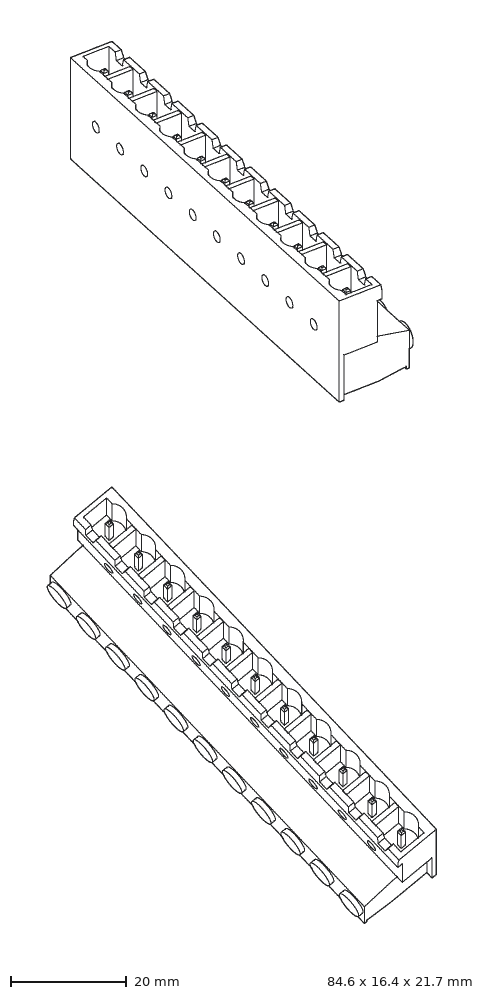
import cadquery as cq


length = 84.6
height = 21.7
depth = 16.4
pole_count = 11
pole_pitch = 7.6

plate_thickness = 1.0
housing_depth = 7.9

lip_depth = 8.9
lip_bottom_z = 18.6
lip_bevel_depth = 0.25
lip_bevel_height = 1.35

body_end_inset = 1.35
body_top_z = 9.7
body_back_y = 15.4
body_back_top_z = 8.4
top_taper_start_y = 9.05
bottom_taper_start_y = 9.1
bottom_taper_end_y = 14.8
bottom_taper_rise = 0.85
foot_z = 0.25

boss_diameter = 5.1
boss_z = 5.25

pocket_width = 6.6
pocket_front_y = 2.0
pocket_back_y = 7.35
pocket_floor_z = 13.5
partition_drop = 0.25
bulge_half_width = 1.9
bulge_depth = 0.85

pin_width = 1.0
pin_tip_width = 0.4
pin_tip_height = 0.3
pin_top_z = 20.0
pin_y = 4.3

notch_top_width = 2.6
notch_bottom_width = 1.9
notch_depth = 1.6

hole_diameter = 2.1
hole_z = 11.75


def row(count):
    """X positions of a centred row at the pole pitch."""
    return [(i - (count - 1) / 2) * pole_pitch for i in range(count)]


def extrude_along_x(points, width):
    """Centred prism along X from a (Y, Z) profile."""
    return cq.Workplane("YZ").polyline(points).close().extrude(width / 2, both=True)


def make_housing():
    """Front plate and plug housing, with the lip at the top."""
    return extrude_along_x(
        [
            (0, 0),
            (plate_thickness, 0),
            (plate_thickness, body_top_z),
            (housing_depth, body_top_z),
            (housing_depth, lip_bottom_z),
            (lip_depth, lip_bottom_z),
            (lip_depth, height - lip_bevel_height),
            (lip_depth - lip_bevel_depth, height),
            (0, height),
        ],
        length,
    )


def make_terminal_body():
    """Shorter tapered body; the bottom ends in a small foot at the back."""
    return extrude_along_x(
        [
            (plate_thickness, 0),
            (bottom_taper_start_y, 0),
            (bottom_taper_end_y, bottom_taper_rise),
            (bottom_taper_end_y, foot_z),
            (body_back_y, foot_z),
            (body_back_y, body_back_top_z),
            (top_taper_start_y, body_top_z),
            (plate_thickness, body_top_z),
        ],
        length - 2 * body_end_inset,
    )


def make_boss(x):
    """Disc standing off the back of the terminal body."""
    return (
        cq.Workplane("XZ", origin=(x, body_back_y, boss_z))
        .circle(boss_diameter / 2)
        .extrude(body_back_y - depth)
    )


def make_pocket(x):
    """Rectangular pocket whose front side bulges forward in an arc."""
    half_width = pocket_width / 2
    return (
        cq.Workplane("XY", origin=(x, 0, pocket_floor_z))
        .moveTo(-half_width, pocket_back_y)
        .lineTo(-half_width, pocket_front_y)
        .lineTo(-bulge_half_width, pocket_front_y)
        .threePointArc((0, pocket_front_y - bulge_depth), (bulge_half_width, pocket_front_y))
        .lineTo(half_width, pocket_front_y)
        .lineTo(half_width, pocket_back_y)
        .close()
        .extrude(height - pocket_floor_z)
    )


def make_partition_relief(x):
    """Thin cut that lowers the wall between two pockets below the rim."""
    return (
        cq.Workplane("XY", origin=(x, (pocket_front_y + pocket_back_y) / 2, height))
        .rect(pole_pitch - pocket_width, pocket_back_y - pocket_front_y)
        .extrude(-partition_drop)
    )


def make_notch(x):
    """Trapezoidal notch from the pocket out through the lip."""
    floor_z = height - notch_depth
    return (
        cq.Workplane("XZ", origin=(x, pocket_back_y, 0))
        .polyline(
            [
                (-notch_top_width / 2, height),
                (-notch_bottom_width / 2, floor_z),
                (notch_bottom_width / 2, floor_z),
                (notch_top_width / 2, height),
            ]
        )
        .close()
        .extrude(pocket_back_y - lip_depth)
    )


def make_pin(x):
    """Square pin rising from the pocket floor to a blunt pyramid tip."""
    shank_top_z = pin_top_z - pin_tip_height
    shank = (
        cq.Workplane("XY", origin=(x, pin_y, pocket_floor_z))
        .rect(pin_width, pin_width)
        .extrude(shank_top_z - pocket_floor_z)
    )
    tip = (
        cq.Workplane("XY", origin=(x, pin_y, shank_top_z))
        .rect(pin_width, pin_width)
        .workplane(offset=pin_tip_height)
        .rect(pin_tip_width, pin_tip_width)
        .loft()
    )
    return shank.union(tip)


def make_hole(x):
    """Round hole from the front face through the housing."""
    return (
        cq.Workplane("XZ", origin=(x, 0, hole_z))
        .circle(hole_diameter / 2)
        .extrude(-housing_depth)
    )


result = make_housing().union(make_terminal_body())

for pole_x in row(pole_count):
    result = result.cut(make_pocket(pole_x)).cut(make_notch(pole_x))
    result = result.union(make_boss(pole_x)).union(make_pin(pole_x))

for gap_x in row(pole_count - 1):
    result = result.cut(make_hole(gap_x)).cut(make_partition_relief(gap_x))